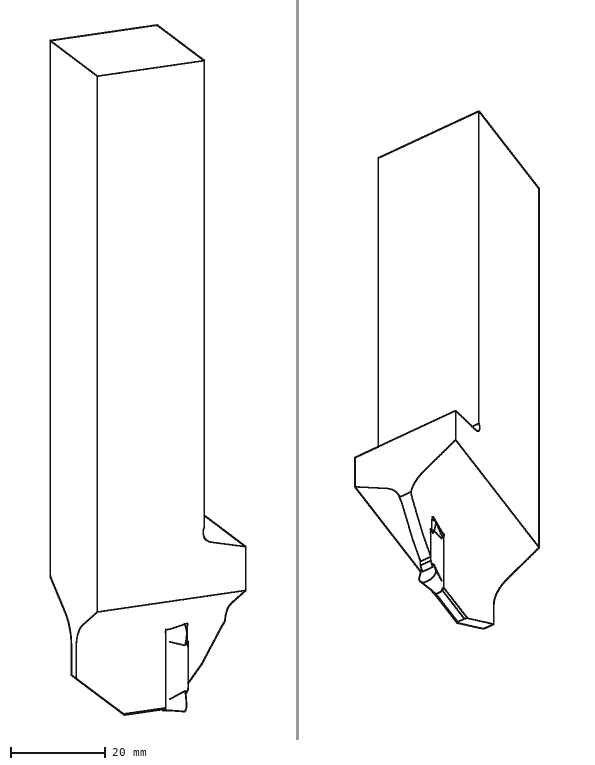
import cadquery as cq
import math

LENGTH = 150.0
SHANK_WIDTH = 24.9
SHANK_DEPTH = 24.8
HEAD_DEPTH = 34.4

LEDGE_EDGE_Z = 39.6
LEDGE_ANGLE = math.radians(15)
UNDERCUT_RADIUS = 2.5
UNDERCUT_DEPTH = 0.3

BLADE_THICKNESS = 2.5
BLADE_TOP_Z = 17.8
TAPER_ANGLE = math.radians(35)
TAPER_RADIUS = 8.0

BLADE_BOTTOM_Z = 1.4
BLADE_EDGE_CHAMFER = 0.5
FRONT_CHAMFER_Z = 11.2
FRONT_CHAMFER_Y = 11.4
BACK_SLOPE_Z = 19.4
BACK_KNEE_Y = 29.1
BACK_KNEE_Z = 10.5
UPPER_JAW_BOTTOM_Z = 6.6

INSERT_FRONT_Y = 20.7
NECK_BACK_Y = 26.0
INSERT_LENGTH = 20.1
NOSE_BACK_Y = 25.2
NOSE_LAND = 0.9
NOSE_RADIUS = 2.1
NOSE_RELIEF = 0.8
FLANK_LENGTH = 2.2
BLEND_LENGTH = 0.6
FLANK_HALF_WIDTH = 1.6
FLANK_RELIEF = 0.3
FLANK_END_RELIEF = 1.4
NECK_BACK_END_Z = 5.2
NECK_FRONT_END_Z = 3.9

SEAT_BACK_Y = 25.6
SEAT_STEP_Z = 15.9


def side_prism(outline, thickness):
    """Extrude a YZ outline symmetrically about the middle plane X = 0."""
    return outline.close().extrude(thickness / 2, both=True)


def make_holder_side():
    center_y = SHANK_DEPTH - UNDERCUT_DEPTH + UNDERCUT_RADIUS
    ledge_y = center_y - UNDERCUT_RADIUS * math.sin(LEDGE_ANGLE)
    ledge_z = LEDGE_EDGE_Z + (HEAD_DEPTH - ledge_y) * math.tan(LEDGE_ANGLE)
    center_z = ledge_z + UNDERCUT_RADIUS * math.cos(LEDGE_ANGLE)
    undercut_top_z = center_z + math.sqrt(UNDERCUT_RADIUS**2 - (center_y - SHANK_DEPTH) ** 2)
    outline = (
        cq.Workplane("YZ")
        .moveTo(0, LENGTH)
        .lineTo(0, FRONT_CHAMFER_Z)
        .lineTo(FRONT_CHAMFER_Y, BLADE_BOTTOM_Z)
        .lineTo(INSERT_FRONT_Y, BLADE_BOTTOM_Z)
        .lineTo(INSERT_FRONT_Y, UPPER_JAW_BOTTOM_Z)
        .lineTo(NECK_BACK_Y, UPPER_JAW_BOTTOM_Z)
        .lineTo(BACK_KNEE_Y, BACK_KNEE_Z)
        .lineTo(HEAD_DEPTH, BACK_SLOPE_Z)
        .lineTo(HEAD_DEPTH, LEDGE_EDGE_Z)
        .lineTo(ledge_y, ledge_z)
        .threePointArc((center_y - UNDERCUT_RADIUS, center_z), (SHANK_DEPTH, undercut_top_z))
        .lineTo(SHANK_DEPTH, LENGTH)
    )
    return side_prism(outline, SHANK_WIDTH)


def make_holder_front():
    """Front silhouette: a square shank that tapers through two arcs to the blade."""
    half_blade = BLADE_THICKNESS / 2
    half_shank = SHANK_WIDTH / 2
    turn = math.pi / 2 - TAPER_ANGLE

    def arc_point(angle):
        x = half_blade + TAPER_RADIUS * (1 - math.cos(angle))
        return x, BLADE_TOP_Z + TAPER_RADIUS * math.sin(angle)

    def mirrored(point):
        return -point[0], point[1]

    arc_middle = arc_point(turn / 2)
    arc_end = arc_point(turn)
    shank_bottom_z = arc_end[1] + (half_shank - arc_end[0]) * math.tan(TAPER_ANGLE)
    return (
        cq.Workplane("XZ")
        .moveTo(half_blade, 0)
        .lineTo(half_blade, BLADE_TOP_Z)
        .threePointArc(arc_middle, arc_end)
        .lineTo(half_shank, shank_bottom_z)
        .lineTo(half_shank, LENGTH)
        .lineTo(-half_shank, LENGTH)
        .lineTo(-half_shank, shank_bottom_z)
        .lineTo(*mirrored(arc_end))
        .threePointArc(mirrored(arc_middle), (-half_blade, BLADE_TOP_Z))
        .lineTo(-half_blade, 0)
        .close()
        .extrude(-HEAD_DEPTH)
    )


def make_insert_seat():
    """Slot through the blade that takes the neck and the upper nose of the insert."""
    outline = (
        cq.Workplane("YZ")
        .moveTo(INSERT_FRONT_Y, 0)
        .lineTo(NECK_BACK_Y, 0)
        .lineTo(NECK_BACK_Y, SEAT_STEP_Z)
        .lineTo(SEAT_BACK_Y, SEAT_STEP_Z)
        .lineTo(SEAT_BACK_Y, INSERT_LENGTH)
        .lineTo(NOSE_BACK_Y, INSERT_LENGTH)
        .lineTo(INSERT_FRONT_Y + NOSE_LAND, INSERT_LENGTH - NOSE_RELIEF)
        .lineTo(INSERT_FRONT_Y, INSERT_LENGTH - NOSE_RELIEF)
    )
    return side_prism(outline, SHANK_WIDTH)


def make_holder():
    body = make_holder_side().intersect(make_holder_front()).cut(make_insert_seat())
    return body.faces("<Z").edges("|Y").chamfer(BLADE_EDGE_CHAMFER)


def nose_section(plane_y, relief, flank_half_width, flank_length):
    """Round nose with two flanks that narrow towards the neck and blend into it."""
    radius = NOSE_RADIUS - relief
    flank_end_z = NOSE_RADIUS + flank_length
    return (
        cq.Workplane("XZ", origin=(0, plane_y, 0))
        .moveTo(-radius, NOSE_RADIUS)
        .threePointArc((0, relief), (radius, NOSE_RADIUS))
        .lineTo(flank_half_width, flank_end_z)
        .lineTo(BLADE_THICKNESS / 2, flank_end_z + BLEND_LENGTH)
        .lineTo(-BLADE_THICKNESS / 2, flank_end_z + BLEND_LENGTH)
        .lineTo(-flank_half_width, flank_end_z)
        .close()
    )


def make_nose():
    """Nose with side relief behind the cutting edge and a straight land at the front."""
    land_y = INSERT_FRONT_Y + NOSE_LAND
    back = nose_section(NOSE_BACK_Y, 0, FLANK_HALF_WIDTH, FLANK_LENGTH)
    small_half_width = FLANK_HALF_WIDTH - FLANK_RELIEF
    small_length = FLANK_LENGTH - FLANK_END_RELIEF
    front = nose_section(land_y, NOSE_RELIEF, small_half_width, small_length)
    relieved = cq.Solid.makeLoft([back.wires().val(), front.wires().val()], True)
    land = front.extrude(NOSE_LAND)
    return land.union(cq.Workplane(relieved))


def make_insert():
    neck_outline = (
        cq.Workplane("YZ")
        .moveTo(INSERT_FRONT_Y, NOSE_RADIUS)
        .lineTo(NOSE_BACK_Y, NOSE_RADIUS)
        .lineTo(NOSE_BACK_Y, NECK_FRONT_END_Z)
        .lineTo(NECK_BACK_Y, NECK_BACK_END_Z)
        .lineTo(NECK_BACK_Y, INSERT_LENGTH - NECK_BACK_END_Z)
        .lineTo(NOSE_BACK_Y, INSERT_LENGTH - NECK_FRONT_END_Z)
        .lineTo(NOSE_BACK_Y, INSERT_LENGTH - NOSE_RADIUS)
        .lineTo(INSERT_FRONT_Y, INSERT_LENGTH - NOSE_RADIUS)
    )
    neck = side_prism(neck_outline, BLADE_THICKNESS)
    lower_nose = make_nose()
    upper_nose = lower_nose.mirror("XY", (0, 0, INSERT_LENGTH / 2))
    return neck.union(lower_nose).union(upper_nose)


holder = make_holder()
insert = make_insert()
result = cq.Compound.makeCompound([holder.val(), insert.val()])